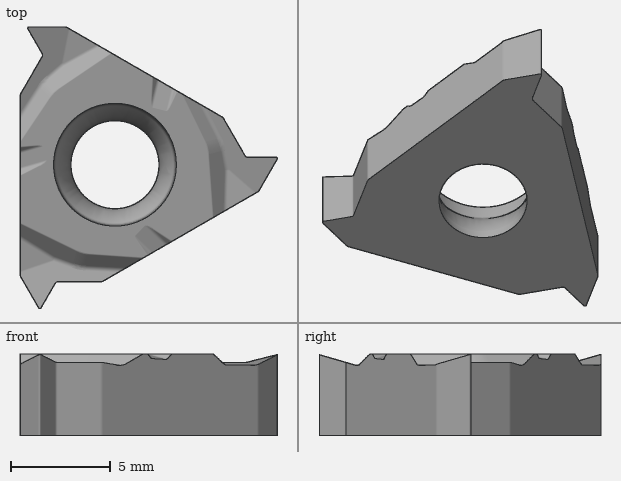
import cadquery as cq
import math

PICK_MARGIN = 0.07

THICKNESS = 4.1
CORNERS = 3
CORNER_STEP = 360 / CORNERS

SIDE_DISTANCE = 4.76
OUTER_FLANK_DISTANCE = 6.9
INNER_FLANK_DISTANCE = 0.38
RELIEF_DISTANCE = 5.87
SIDE_ANGLE = 180
OUTER_FLANK_ANGLE = 210
INNER_FLANK_ANGLE = 330
RELIEF_ANGLE = 270
TIP_RADIUS = 0.07
ROOT_RADIUS = 0.14
BLEND_RADIUS = 0.27

CROWN_LEFT_ANGLE = 244
CROWN_LEFT_DISTANCE = 4.73
CROWN_RIGHT_ANGLE = 266
CROWN_RIGHT_DISTANCE = 4.57
CROWN_CORNER_RADIUS = 2.54
CROWN_WALL_LEAN = 48
CROWN_HEIGHT = 1.41
CROWN_EDGE_RADIUS = 0.1

RAKE_SLOPE = 0.29
RAKE_Z_AT_RELIEF = 3.67
FACET_SLOPE = 0.1
FACET_Z_AT_SIDE = 3.53
FLOOR_FILLET = 0.25
POCKET_X = (-7.06, 2.12)
POCKET_Y = (-8.47, -2.12)
POCKET_TOP = THICKNESS + 0.7

GROOVE_OFFSET = 0.2
GROOVE_ANGLE = 16
GROOVE_LENGTH = 1.3
GROOVE_DEPTH = 0.25
GROOVE_FLOOR_HALF_WIDTH = 0.42
GROOVE_WALL_HEIGHT = 0.85
GROOVE_FILLET = 0.21
GROOVE_OVERRUN = 0.7
GROOVE_EDGE_RADIUS = 0.1

BORE_RADIUS = 2.2
SEAT_RIM_RADIUS = 3.01
COUNTERBORE_RADIUS = 3.08
SEAT_RADIUS = 3.87
BORE_HEIGHT = 0.56
SEAT_FILLET = 0.42


def meet(angle_a, distance_a, angle_b, distance_b):
    """Point shared by two lines, each given by its facing angle and distance from the axis."""
    a = math.radians(angle_a)
    b = math.radians(angle_b)
    cross = math.sin(b - a)
    x = (distance_a * math.sin(b) - distance_b * math.sin(a)) / cross
    y = (distance_b * math.cos(a) - distance_a * math.cos(b)) / cross
    return x, y


def turned(point, index):
    """Point carried to another corner of the insert."""
    angle = math.radians(CORNER_STEP * index)
    x, y = point
    return (
        x * math.cos(angle) - y * math.sin(angle),
        x * math.sin(angle) + y * math.cos(angle),
    )


def fillet_posts(body, point, radius):
    """Round the upright edge at the given point of every corner."""
    for index in range(CORNERS):
        x, y = turned(point, index)
        near = cq.selectors.BoxSelector(
            (x - PICK_MARGIN, y - PICK_MARGIN, 0), (x + PICK_MARGIN, y + PICK_MARGIN, THICKNESS)
        )
        body = body.edges("|Z").edges(near).fillet(radius)
    return body


def make_blank():
    """Three-cornered prism with a pointed tooth at each corner and rounded upright edges."""
    shoulder = meet(SIDE_ANGLE, SIDE_DISTANCE, OUTER_FLANK_ANGLE, OUTER_FLANK_DISTANCE)
    tip = meet(OUTER_FLANK_ANGLE, OUTER_FLANK_DISTANCE, INNER_FLANK_ANGLE, INNER_FLANK_DISTANCE)
    root = meet(INNER_FLANK_ANGLE, INNER_FLANK_DISTANCE, RELIEF_ANGLE, RELIEF_DISTANCE)
    heel = meet(RELIEF_ANGLE, RELIEF_DISTANCE, SIDE_ANGLE + CORNER_STEP, SIDE_DISTANCE)
    corner = (shoulder, tip, root, heel)
    outline = [turned(point, index) for index in range(CORNERS) for point in corner]
    blank = cq.Workplane("XY").polyline(outline).close().extrude(THICKNESS)
    for point, radius in zip(corner, (BLEND_RADIUS, TIP_RADIUS, ROOT_RADIUS, BLEND_RADIUS)):
        blank = fillet_posts(blank, point, radius)
    return blank


def make_crown():
    """Six-sided frustum that narrows upward to the top face, its blunt corners rounded."""
    spread = CROWN_HEIGHT * math.tan(math.radians(CROWN_WALL_LEAN))
    left = CROWN_LEFT_DISTANCE + spread
    right = CROWN_RIGHT_DISTANCE + spread
    blunt = meet(CROWN_LEFT_ANGLE, left, CROWN_RIGHT_ANGLE, right)
    sharp = meet(CROWN_RIGHT_ANGLE, right, CROWN_LEFT_ANGLE + CORNER_STEP, left)
    outline = [turned(point, index) for index in range(CORNERS) for point in (blunt, sharp)]
    crown = (
        cq.Workplane("XY", origin=(0, 0, THICKNESS - CROWN_HEIGHT))
        .polyline(outline)
        .close()
        .extrude(CROWN_HEIGHT, taper=CROWN_WALL_LEAN)
    )
    half_left = left - spread / 2
    half_right = right - spread / 2
    half_blunt = meet(CROWN_LEFT_ANGLE, half_left, CROWN_RIGHT_ANGLE, half_right)
    for index in range(CORNERS):
        middle = (*turned(half_blunt, index), THICKNESS - CROWN_HEIGHT / 2)
        crown = crown.edges(cq.selectors.NearestToPointSelector(middle)).fillet(CROWN_CORNER_RADIUS)
    return crown.faces(">Z").edges().fillet(CROWN_EDGE_RADIUS)


def make_pocket(crown):
    """Cutter for the corner facing -Y: the space over both floors and outside the crown."""
    x_min, x_max = POCKET_X
    y_min, y_max = POCKET_Y

    def rake_z(y):
        return RAKE_Z_AT_RELIEF - RAKE_SLOPE * (y + RELIEF_DISTANCE)

    def facet_z(x):
        return FACET_Z_AT_SIDE - FACET_SLOPE * (x + SIDE_DISTANCE)

    def outline_over(floor_z, start, end):
        return [(start, floor_z(start)), (end, floor_z(end)), (end, POCKET_TOP), (start, POCKET_TOP)]

    over_rake = (
        cq.Workplane("YZ", origin=(x_min, 0, 0))
        .polyline(outline_over(rake_z, y_min, y_max))
        .close()
        .extrude(x_max - x_min)
    )
    over_facet = (
        cq.Workplane("XZ", origin=(0, y_max, 0))
        .polyline(outline_over(facet_z, x_min, x_max))
        .close()
        .extrude(y_max - y_min)
    )
    pocket = over_rake.intersect(over_facet).cut(crown)
    floor_edges = cq.selectors.BoxSelector(
        (x_min + PICK_MARGIN, y_min + PICK_MARGIN, 0),
        (x_max - PICK_MARGIN, y_max - PICK_MARGIN, RAKE_Z_AT_RELIEF),
    )
    return pocket.edges(floor_edges).fillet(FLOOR_FILLET)


def make_groove():
    """Cutter for the groove in the side facing -X: it runs inward and rises to the top face."""
    wall_top = GROOVE_FLOOR_HALF_WIDTH + GROOVE_WALL_HEIGHT
    section = [
        (-GROOVE_FLOOR_HALF_WIDTH, 0),
        (GROOVE_FLOOR_HALF_WIDTH, 0),
        (wall_top, GROOVE_WALL_HEIGHT),
        (-wall_top, GROOVE_WALL_HEIGHT),
    ]
    rise_angle = math.degrees(math.atan(GROOVE_DEPTH / GROOVE_LENGTH))
    groove = (
        cq.Workplane("YZ", origin=(-GROOVE_OVERRUN, 0, 0))
        .polyline(section)
        .close()
        .extrude(2 * GROOVE_OVERRUN + GROOVE_LENGTH)
        .edges("|X and <Z")
        .fillet(GROOVE_FILLET)
    )
    return (
        groove.rotate((0, 0, 0), (0, 1, 0), -rise_angle)
        .rotate((0, 0, 0), (0, 0, 1), GROOVE_ANGLE)
        .translate((-SIDE_DISTANCE, GROOVE_OFFSET, THICKNESS - GROOVE_DEPTH))
    )


def make_hole():
    """Bore that flares through a rounded seat into a slightly tapered counterbore."""

    def seat_height(radius):
        reach = SEAT_RADIUS - (radius - BORE_RADIUS)
        return BORE_HEIGHT + math.sqrt(SEAT_RADIUS**2 - reach**2)

    rim_height = seat_height(SEAT_RIM_RADIUS)
    middle_radius = (BORE_RADIUS + SEAT_RIM_RADIUS) / 2
    hole = (
        cq.Workplane("XZ")
        .lineTo(BORE_RADIUS, 0)
        .lineTo(BORE_RADIUS, BORE_HEIGHT)
        .threePointArc(
            (middle_radius, seat_height(middle_radius)),
            (SEAT_RIM_RADIUS, rim_height),
        )
        .lineTo(COUNTERBORE_RADIUS, THICKNESS)
        .lineTo(0, THICKNESS)
        .close()
        .revolve(360, (0, 0, 0), (0, 1, 0))
    )
    rim = cq.selectors.BoxSelector(
        (-COUNTERBORE_RADIUS, -COUNTERBORE_RADIUS, rim_height - PICK_MARGIN),
        (COUNTERBORE_RADIUS, COUNTERBORE_RADIUS, rim_height + PICK_MARGIN),
    )
    return hole.edges("%CIRCLE").edges(rim).fillet(SEAT_FILLET)


def turn_body(body, index):
    """Copy of a body carried to another corner of the insert."""
    return body.rotate((0, 0, 0), (0, 0, 1), CORNER_STEP * index)


def cut_grooves(body):
    """Cut the three grooves and round the rim that each leaves in the top face."""
    groove = make_groove()
    angle = math.radians(GROOVE_ANGLE)
    inner_end = (
        GROOVE_LENGTH * math.cos(angle) - SIDE_DISTANCE,
        GROOVE_LENGTH * math.sin(angle) + GROOVE_OFFSET,
    )
    for index in range(CORNERS):
        body = body.cut(turn_body(groove, index))
        end_point = (*turned(inner_end, index), THICKNESS)
        body = body.edges(cq.selectors.NearestToPointSelector(end_point)).fillet(GROOVE_EDGE_RADIUS)
    return body


def cut_pockets(body):
    """Cut the floor around the crown at each corner."""
    pocket = make_pocket(make_crown())
    for index in range(CORNERS):
        body = body.cut(turn_body(pocket, index))
    return body


result = cut_pockets(cut_grooves(make_blank()).cut(make_hole()))